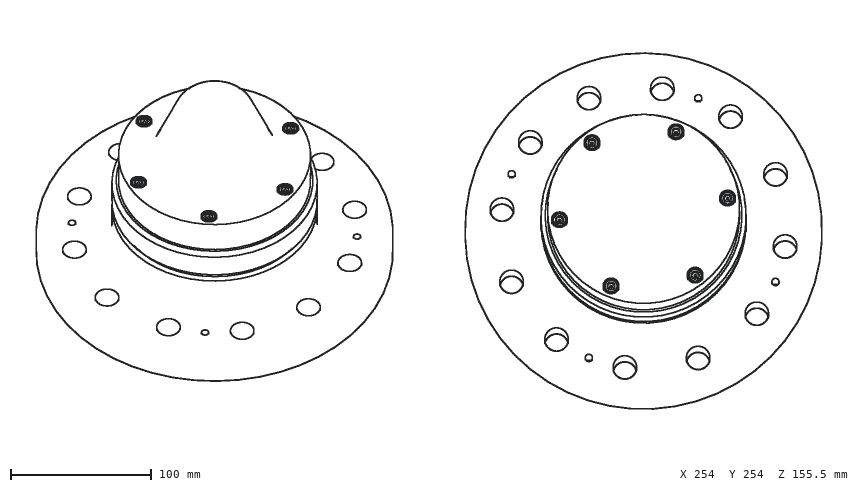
import cadquery as cq
import math

flange_diameter = 254.0
flange_thickness = 25.1
edge_radius = 3.0
hub_diameter = 146.0
hub_top = 76.0
hub_chamfer = 3.0
groove_diameter = 137.5
groove_bottom = 48.5
groove_width = 6.4

bolt_circle_diameter = 203.2
bolt_hole_diameter = 16.8
bolt_hole_count = 12
small_hole_diameter = 5.0
small_hole_count = 4
small_hole_start = 15.0

cap_diameter = 136.7
cap_top = 101.5
nose_top = 155.5
nose_base_diameter = 91.2
nose_half_angle = 20.8
nose_tip_radius = 12.7

screw_count = 6
screw_start = 45.0
screw_circle_diameter = 120.6
head_diameter = 9.7
counterbore_depth = 6.4
head_recess = 0.3
head_chamfer = 0.5
counterbore_diameter = 11.2
shank_diameter = 6.9
thread_depth = 12.7
socket_width = 4.8
socket_depth = 3.0
socket_angle = 15.0
dimple_diameter = 1.57


def cylinder(diameter, bottom, top):
    return cq.Workplane("XY", origin=(0, 0, bottom)).circle(diameter / 2).extrude(top - bottom)


def circle_points(circle_diameter, count, start_angle):
    """Evenly spaced points on a circle about the Z axis."""
    angles = [math.radians(start_angle + i * 360 / count) for i in range(count)]
    radius = circle_diameter / 2
    return [(radius * math.cos(a), radius * math.sin(a)) for a in angles]


screw_points = circle_points(screw_circle_diameter, screw_count, screw_start)


def drill(body, points, diameter, bottom, top):
    """Cut a round hole from bottom to top at each point."""
    holes = cq.Workplane("XY", origin=(0, 0, bottom)).pushPoints(points)
    return body.cut(holes.circle(diameter / 2).extrude(top - bottom))


def fillet_foot(body, height):
    """Round the inner corner where a boss rises from the ring-shaped face at this height."""
    ring = body.faces("+Z").faces(cq.selectors.NearestToPointSelector((0, 0, height)))
    return ring.edges(cq.selectors.RadiusNthSelector(0)).fillet(edge_radius)


def make_flanged_hub():
    flange = cylinder(flange_diameter, 0, flange_thickness).edges().fillet(edge_radius)
    hub = cylinder(hub_diameter, flange_thickness / 2, hub_top).faces(">Z").chamfer(hub_chamfer)
    body = flange.union(hub)
    body = fillet_foot(body, flange_thickness)

    groove_top = groove_bottom + groove_width
    groove = cylinder(hub_diameter, groove_bottom, groove_top)
    groove = groove.cut(cylinder(groove_diameter, groove_bottom, groove_top))
    body = body.cut(groove)

    bolt_points = circle_points(bolt_circle_diameter, bolt_hole_count, 0)
    small_points = circle_points(bolt_circle_diameter, small_hole_count, small_hole_start)
    body = drill(body, bolt_points, bolt_hole_diameter, 0, flange_thickness)
    body = drill(body, small_points, small_hole_diameter, 0, flange_thickness)
    return drill(body, screw_points, shank_diameter, hub_top - thread_depth, hub_top)


def make_cap():
    nose_height = nose_top - cap_top
    nose = (
        cq.Workplane("XY", origin=(0, 0, cap_top))
        .circle(nose_base_diameter / 2)
        .extrude(nose_height, taper=nose_half_angle)
    )
    nose = nose.faces(">Z").edges().fillet(nose_tip_radius)
    body = cylinder(cap_diameter, hub_top, cap_top).union(nose)
    body = fillet_foot(body, cap_top)
    body = drill(body, screw_points, shank_diameter, hub_top, cap_top)
    return drill(body, screw_points, counterbore_diameter, cap_top - counterbore_depth, cap_top)


def make_screw(x, y):
    """One screw with a countersunk hexagon socket that ends in a drill-point dimple."""
    head_top = cap_top - head_recess
    seat = cap_top - counterbore_depth
    head = cylinder(head_diameter, seat, head_top).faces(">Z").chamfer(head_chamfer)
    shank = cylinder(shank_diameter, hub_top - thread_depth, seat)
    socket_floor = head_top - socket_depth
    socket = (
        cq.Workplane("XY", origin=(0, 0, socket_floor))
        .polygon(6, socket_width, circumscribed=True)
        .extrude(socket_depth)
        .rotate((0, 0, 0), (0, 0, 1), socket_angle)
    )
    mouth_diameter = socket_width / math.cos(math.pi / 6)
    mouth_depth = (mouth_diameter - socket_width) / 2
    mouth = cq.Workplane("XY", origin=(0, 0, head_top)).circle(mouth_diameter / 2)
    mouth = mouth.extrude(-mouth_depth, taper=45)
    dimple = cq.Solid.makeCone(0, dimple_diameter / 2, dimple_diameter / 2)
    dimple = dimple.translate((0, 0, socket_floor - dimple_diameter / 2))
    screw = head.union(shank).cut(socket).cut(mouth).cut(cq.Workplane(dimple))
    return screw.translate((x, y, 0))


flanged_hub = make_flanged_hub()
cap = make_cap()
screws = [make_screw(x, y) for x, y in screw_points]

result = cq.Compound.makeCompound([flanged_hub.val(), cap.val(), *[screw.val() for screw in screws]])